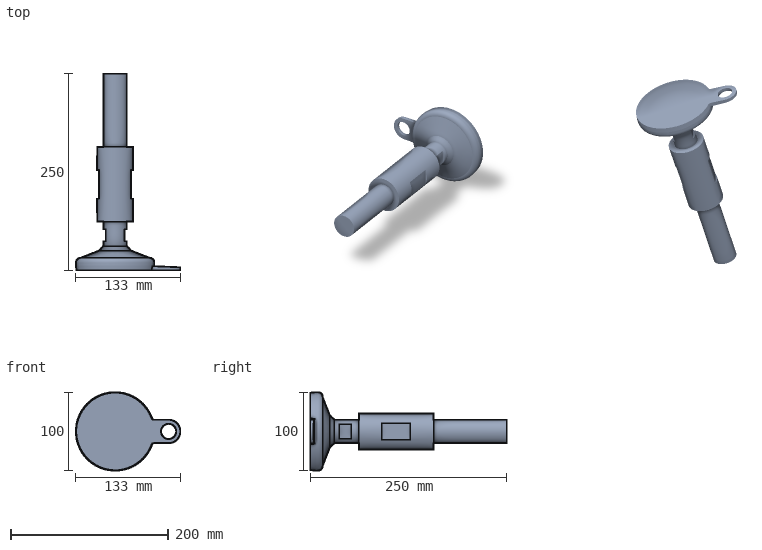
import cadquery as cq
import math

total_length = 250.0
spindle_radius = 15.0

foot_radius = 50.0
foot_base_radius = 49.2
foot_taper_height = 6.2
foot_rim_height = 9.2
shoulder_radius = 43.5
shoulder_height = 16.0
shoulder_bulge_radius = 48.2
shoulder_bulge_height = 14.0
collar_radius = 20.5
collar_height = 25.0
foot_top = 30.8

neck_flat_start = 37.0
neck_flat_length = 15.0
neck_flat_width = 24.0

lug_center = 68.0
lug_radius = 15.0
lug_hole_radius = 9.5
lug_root_fillet = 4.0
lug_root_thickness = 5.5
lug_tip_thickness = 4.0

sleeve_radius = 23.0
sleeve_start = 61.8
sleeve_length = 95.0
sleeve_flat_length = 36.2
sleeve_flat_width = 41.0


def cylinder_along_y(radius, start, length):
    return cq.Workplane("XZ", origin=(0, start, 0)).circle(radius).extrude(-length)


def cut_side_flats(body, radius, start, length, across_flats):
    """Cut a pair of parallel flats, facing -X and +X, over a stretch of a round body."""
    middle = start + length / 2
    depth = radius - across_flats / 2
    for side in (-1, 1):
        cutter = cq.Workplane("XY").box(2 * depth, length, 2 * radius)
        body = body.cut(cutter.translate((side * radius, middle, 0)))
    return body


def make_foot_disc():
    """Revolve the half profile of the foot around the Y axis."""
    return (
        cq.Workplane("XY")
        .lineTo(foot_base_radius, 0)
        .lineTo(foot_radius, foot_taper_height)
        .lineTo(foot_radius, foot_rim_height)
        .threePointArc((shoulder_bulge_radius, shoulder_bulge_height), (shoulder_radius, shoulder_height))
        .lineTo(collar_radius, collar_height)
        .lineTo(spindle_radius, foot_top)
        .lineTo(0, foot_top)
        .close()
        .revolve(360, (0, 0, 0), (0, 1, 0))
    )


def make_lug():
    """Eyelet with root fillets tangent to the foot's base circle and a top that thins outwards."""
    fillet_z = lug_radius + lug_root_fillet
    fillet_distance = foot_base_radius + lug_root_fillet
    fillet_x = math.sqrt(fillet_distance**2 - fillet_z**2)
    root_x = fillet_x * foot_base_radius / fillet_distance
    root_z = fillet_z * foot_base_radius / fillet_distance
    tip_x = lug_center + lug_radius

    root_angle = math.atan2(fillet_z, fillet_x)
    middle_angle = (root_angle + math.pi / 2) / 2
    middle_x = fillet_x - lug_root_fillet * math.cos(middle_angle)
    middle_z = fillet_z - lug_root_fillet * math.sin(middle_angle)

    outline = (
        cq.Workplane("XZ")
        .moveTo(root_x, root_z)
        .threePointArc((middle_x, middle_z), (fillet_x, lug_radius))
        .lineTo(lug_center, lug_radius)
        .threePointArc((tip_x, 0), (lug_center, -lug_radius))
        .lineTo(fillet_x, -lug_radius)
        .threePointArc((middle_x, -middle_z), (root_x, -root_z))
        .close()
        .extrude(-lug_root_thickness)
    )
    wedge = (
        cq.Workplane("XY")
        .moveTo(root_x, 0)
        .lineTo(tip_x, 0)
        .lineTo(tip_x, lug_tip_thickness)
        .lineTo(root_x, lug_root_thickness)
        .close()
        .extrude(fillet_z, both=True)
    )
    hole = cylinder_along_y(lug_hole_radius, 0, lug_root_thickness).translate((lug_center, 0, 0))
    return outline.intersect(wedge).cut(hole)


def make_footed_spindle():
    spindle = cylinder_along_y(spindle_radius, foot_top, total_length - foot_top)
    spindle = cut_side_flats(spindle, spindle_radius, neck_flat_start, neck_flat_length, neck_flat_width)
    return make_foot_disc().union(make_lug()).union(spindle)


def make_sleeve():
    sleeve = cylinder_along_y(sleeve_radius, sleeve_start, sleeve_length)
    flat_start = sleeve_start + (sleeve_length - sleeve_flat_length) / 2
    sleeve = cut_side_flats(sleeve, sleeve_radius, flat_start, sleeve_flat_length, sleeve_flat_width)
    return sleeve.cut(cylinder_along_y(spindle_radius, sleeve_start, sleeve_length))


footed_spindle = make_footed_spindle()
sleeve = make_sleeve()

result = cq.Compound.makeCompound([footed_spindle.val(), sleeve.val()])